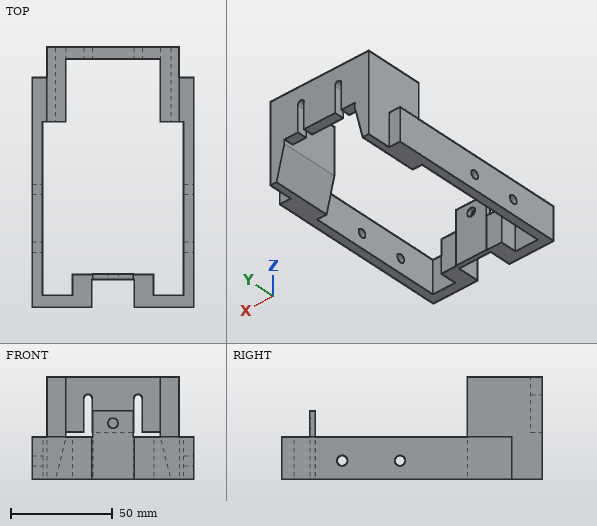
import cadquery as cq

length = 128.8
width = 80.0
height = 50.7
rail_height = 21.0
rail_thickness = 5.2
rail_length = 113.7
inner_half_width = width / 2 - rail_thickness

bracket_half_width = 32.7
bracket_depth = 37.1
opening_half_width = 23.3
foot_inner_x = 28.6
plate_bottom = 23.5
plate_thickness = 6.0
slot_width = 4.0
slot_offset = 12.4
slot_top = 42.0

bar_thickness = 6.0
notch_width = 21.0
block_width = 40.0
block_back = 16.4
tab_width = 20.1
tab_front = 13.8
tab_back = 16.6
tab_top = 33.9
tab_hole_z = 27.8

hole_diameter = 5.0
rail_hole_z = 9.3
rail_hole_positions = (29.9, 58.5)


def box(x_range, y_range, z_range):
    """Box spanning the given (low, high) range on each axis."""
    spans = [high - low for low, high in (x_range, y_range, z_range)]
    corner = (x_range[0], y_range[0], z_range[0])
    return cq.Workplane("XY").box(*spans, centered=False).translate(corner)


def centered_box(x_width, y_range, z_range):
    return box((-x_width / 2, x_width / 2), y_range, z_range)


def side_rail():
    rail = box((inner_half_width, width / 2), (0, rail_length), (0, rail_height))
    holes = (
        cq.Workplane("YZ", origin=(inner_half_width, 0, 0))
        .pushPoints([(y, rail_hole_z) for y in rail_hole_positions])
        .circle(hole_diameter / 2)
        .extrude(rail_thickness)
    )
    return rail.cut(holes)


def bracket_arm():
    """Upright arm whose inner face slopes outward below the rail top."""
    arm = (
        cq.Workplane("XZ", origin=(0, length, 0))
        .polyline([
            (foot_inner_x, 0),
            (bracket_half_width, 0),
            (bracket_half_width, height),
            (opening_half_width, height),
            (opening_half_width, rail_height),
        ])
        .close()
        .extrude(bracket_depth)
    )
    web = box(
        (bracket_half_width, inner_half_width),
        (length - bracket_depth, rail_length),
        (0, rail_height),
    )
    return arm.union(web)


def back_plate():
    """Plate with two round-topped slots open at the bottom."""
    plate = centered_box(
        2 * opening_half_width,
        (length - plate_thickness, length),
        (plate_bottom, height),
    )
    slot_radius = slot_width / 2
    arc_base = slot_top - slot_radius
    for center in (-slot_offset, slot_offset):
        slot = (
            cq.Workplane("XZ", origin=(center, length, 0))
            .moveTo(-slot_radius, plate_bottom)
            .lineTo(-slot_radius, arc_base)
            .threePointArc((0, slot_top), (slot_radius, arc_base))
            .lineTo(slot_radius, plate_bottom)
            .close()
            .extrude(plate_thickness)
        )
        plate = plate.cut(slot)
    return plate


def front_bar():
    """Notched cross bar, its thicker middle block and the tab closing the notch."""
    bar = centered_box(2 * inner_half_width, (0, bar_thickness), (0, rail_height))
    block = centered_box(block_width, (0, block_back), (0, rail_height))
    notch = centered_box(notch_width, (0, tab_front), (0, rail_height))
    tab = centered_box(tab_width, (tab_front, tab_back), (0, tab_top))
    hole = (
        cq.Workplane("XZ", origin=(0, tab_back, tab_hole_z))
        .circle(hole_diameter / 2)
        .extrude(tab_back - tab_front)
    )
    return bar.union(block).cut(notch).union(tab).cut(hole)


result = front_bar().union(back_plate())
for side_part in (side_rail(), bracket_arm()):
    result = result.union(side_part).union(side_part.mirror("YZ"))